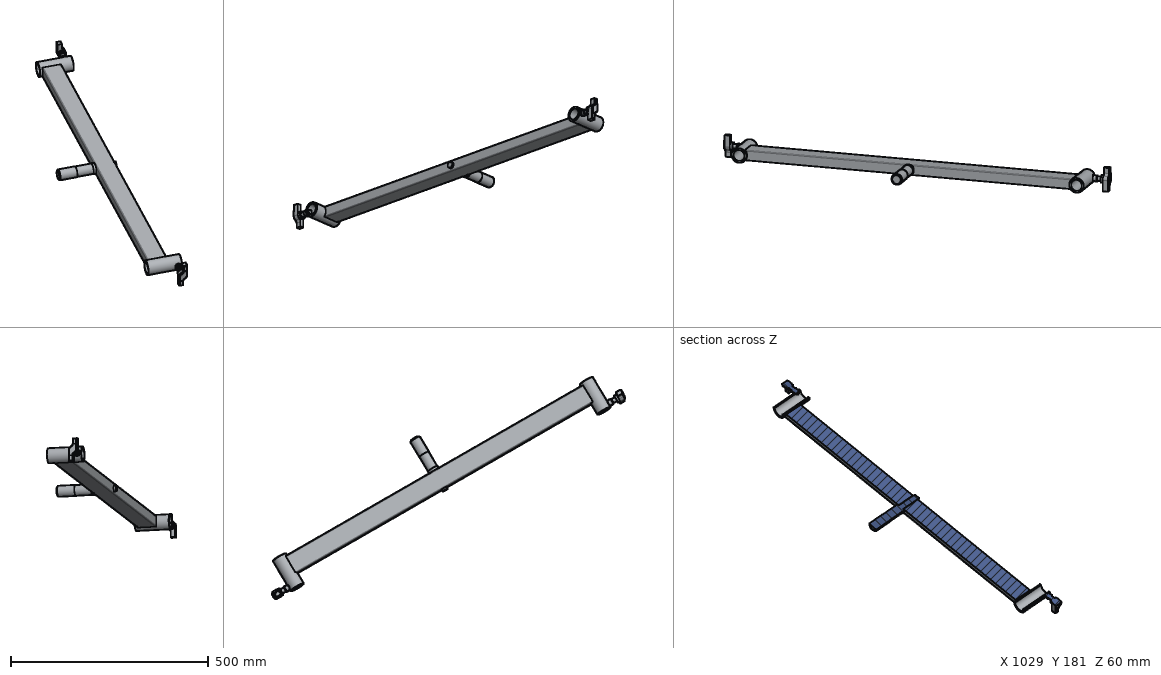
import cadquery as cq
import math

overall_length = 1029.0

bar_width = 50.0
bar_height = 28.0
bar_edge_radius = 2.0

tube_radius = 20.0
tube_bore_radius = 14.0
tube_offset = 451.0
tube_back = 58.0
tube_length = 90.0
tube_front = tube_back - tube_length

hub_diameter = 22.0
hub_radius = hub_diameter / 2
screw_y = tube_back - hub_radius
grip_end = overall_length / 2
grip_thickness = 15.0
grip_chamfer = 2.0
pad_height = 1.0
pad_reach = 14.0
collar_length = 6.0
collar_radius = 10.0
neck_radius = 6.0
wing_reach = 30.0
wing_thickness = 11.0
wing_root = 16.0
grip_outer = grip_end - pad_height
grip_inner = grip_outer - grip_thickness
collar_inner = grip_inner - collar_length
screw_tip = tube_offset + tube_bore_radius

boss_radius = 8.0
boss_end = 482.0
boss_chamfer = 3.0

stud_diameter = 28.0
stud_radius = stud_diameter / 2
stud_end = 123.0
stud_chamfer = 3.0
stud_shoulder_length = 7.0
stud_plain_length = 43.0
stud_step = 0.5
shank_radius = 7.7
shank_back = 31.0


def y_cylinder(radius, x, y_start, y_end):
    """Cylinder along Y between two Y positions."""
    return (
        cq.Workplane("XZ", origin=(x, y_end, 0))
        .circle(radius)
        .extrude(y_end - y_start)
    )


def x_cylinder(radius, x_start, x_end):
    """Cylinder along X on the screw axis."""
    return (
        cq.Workplane("YZ", origin=(x_start, screw_y, 0))
        .circle(radius)
        .extrude(x_end - x_start)
    )


def make_stud():
    front = -bar_width / 2
    shoulder_end = front - stud_shoulder_length
    plain_end = shoulder_end - stud_plain_length
    shoulder = y_cylinder(stud_radius + stud_step, 0, shoulder_end, front)
    plain = y_cylinder(stud_radius, 0, plain_end, shoulder_end)
    tip = y_cylinder(stud_radius + stud_step, 0, -stud_end, plain_end)
    tip = tip.faces("<Y").chamfer(stud_chamfer)
    shank = y_cylinder(shank_radius, 0, front, shank_back)
    return shoulder.union(plain).union(tip).union(shank)


def make_bar():
    bar = (
        cq.Workplane("XY")
        .box(2 * tube_offset, bar_width, bar_height)
        .edges("|X")
        .fillet(bar_edge_radius)
    )
    for side in (-1, 1):
        bar = bar.cut(y_cylinder(tube_radius, side * tube_offset, -bar_width, bar_width))
    return bar.cut(y_cylinder(shank_radius, 0, -bar_width, bar_width))


def make_tube():
    outer = y_cylinder(tube_radius, tube_offset, tube_front, tube_back)
    bore = y_cylinder(tube_bore_radius, tube_offset, tube_front, tube_back)
    return outer.cut(bore).cut(x_cylinder(neck_radius, tube_offset, boss_end))


def make_boss():
    boss = x_cylinder(boss_radius, tube_offset, boss_end).faces(">X").chamfer(boss_chamfer)
    boss = boss.cut(y_cylinder(tube_radius, tube_offset, tube_front, tube_back))
    return boss.cut(x_cylinder(neck_radius, tube_offset, boss_end))


def opposite(point):
    """Point turned half a turn about the screw axis."""
    return (-point[0], -point[1])


def make_grip():
    face = hub_radius - wing_thickness
    root_radius = (face**2 + wing_root**2 - hub_radius**2) / (2 * (hub_radius + face))
    centre_y = face - root_radius
    centre_angle = math.atan2(wing_root, centre_y)
    touch = (hub_radius * math.cos(centre_angle), hub_radius * math.sin(centre_angle))
    hub_angle = (centre_angle + math.pi) / 2
    hub_mid = (hub_radius * math.cos(hub_angle), hub_radius * math.sin(hub_angle))
    root_angle = (centre_angle - math.pi) / 2
    root_mid = (
        centre_y + root_radius * math.cos(root_angle),
        wing_root + root_radius * math.sin(root_angle),
    )
    root = (face, wing_root)
    inner_tip = (face, wing_reach)
    outer_tip = (hub_radius, wing_reach)
    side = (hub_radius, 0)
    return (
        cq.Workplane("YZ", origin=(grip_inner, screw_y, 0))
        .moveTo(*side)
        .lineTo(*outer_tip)
        .lineTo(*inner_tip)
        .lineTo(*root)
        .threePointArc(root_mid, touch)
        .threePointArc(hub_mid, opposite(side))
        .lineTo(*opposite(outer_tip))
        .lineTo(*opposite(inner_tip))
        .lineTo(*opposite(root))
        .threePointArc(opposite(root_mid), opposite(touch))
        .threePointArc(opposite(hub_mid), side)
        .close()
        .extrude(grip_thickness)
        .faces(">X")
        .chamfer(grip_chamfer)
    )


def make_pad(grip):
    band = (
        cq.Workplane("YZ", origin=(grip_outer, screw_y, 0))
        .rect(2 * hub_radius, 2 * pad_reach)
        .extrude(pad_height)
    )
    face_plate = grip.faces(">X").wires().toPending().extrude(pad_height, combine=False)
    return face_plate.intersect(band)


def make_screw():
    grip = make_grip()
    collar = x_cylinder(collar_radius, collar_inner, grip_inner)
    shank = x_cylinder(neck_radius, screw_tip, collar_inner)
    return grip.union(make_pad(grip)).union(collar).union(shank)


bar = make_bar()
stud = make_stud()

right_tube = make_tube()
right_boss = make_boss()
right_screw = make_screw()
tubes = [right_tube, right_tube.mirror("YZ")]
bosses = [right_boss, right_boss.mirror("YZ")]
screws = [right_screw.rotate((0, screw_y, 0), (0, screw_y, 1), turn) for turn in (0, 180)]

result = cq.Compound.makeCompound([body.val() for body in [bar, stud, *tubes, *bosses, *screws]])